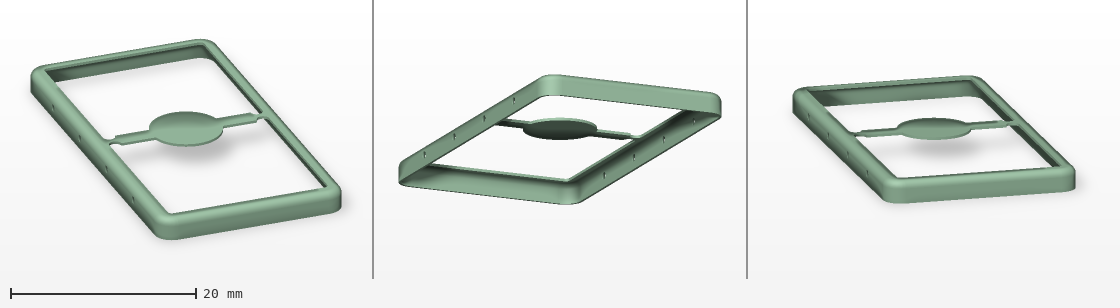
import cadquery as cq

length = 40.9
width = 21.5
height = 2.5
corner_radius = 2.0
top_fillet = 0.8

shell_thickness = 0.3
rim_width = 1.5
plate_underside = height - shell_thickness

disc_diameter = 8.0
arm_width = 2.0
notch_radius = 0.7

hole_diameter = 0.8
hole_spacing = 8.0
hole_count = 4
hole_height = height / 2

window_width = width - 2 * rim_width


def rounded_block(inset, block_height):
    """Block following the outer outline at a constant inset."""
    return (
        cq.Workplane("XY")
        .rect(length - 2 * inset, width - 2 * inset)
        .extrude(block_height)
        .edges("|Z")
        .fillet(corner_radius - inset)
    )


def make_frame():
    body = rounded_block(0, height).faces(">Z").edges().fillet(top_fillet)
    cavity = (
        rounded_block(shell_thickness, plate_underside)
        .faces(">Z")
        .edges()
        .fillet(top_fillet - shell_thickness)
    )
    window = rounded_block(rim_width, height)
    return body.cut(cavity).cut(window)


def make_bridge():
    """Central disc on two arms, each necked down next to the rim."""
    plane = cq.Workplane("XY", origin=(0, 0, plate_underside))
    disc = plane.circle(disc_diameter / 2).extrude(shell_thickness)
    arm_length = window_width + rim_width - top_fillet
    arms = plane.rect(arm_width, arm_length).extrude(shell_thickness)
    notches = (
        plane.rect(arm_width, window_width - 2 * notch_radius, forConstruction=True)
        .vertices()
        .circle(notch_radius)
        .extrude(shell_thickness)
    )
    return disc.union(arms).cut(notches)


def make_cross_holes():
    return (
        cq.Workplane("XZ", origin=(0, 0, hole_height))
        .rarray(hole_spacing, 0.4, hole_count, 1)
        .circle(hole_diameter / 2)
        .extrude(width, both=True)
    )


result = make_frame().union(make_bridge()).cut(make_cross_holes())